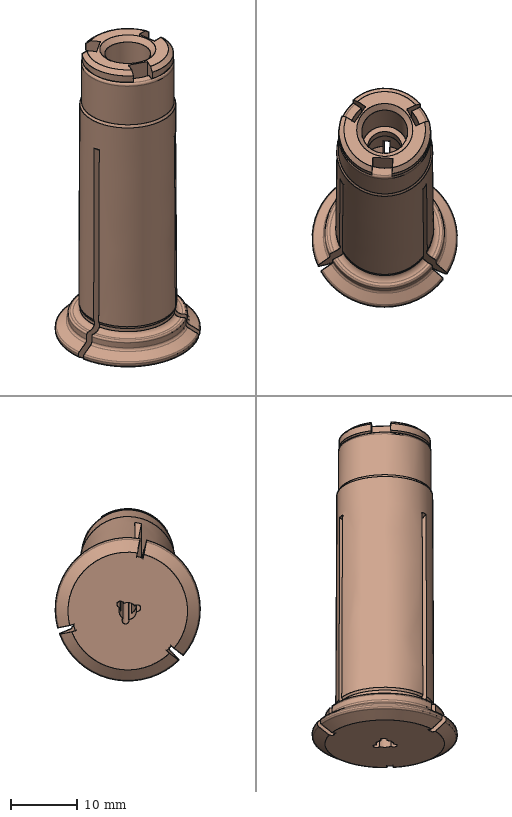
import cadquery as cq
import math

HEIGHT = 50.5
SECTORS = 3
SECTOR_ANGLE = 360.0 / SECTORS

FLANGE_R = 21.95 / 2
FLANGE_CONE_ANGLE = 31.0
RIM_MID_Z = 1.5
RIM_WIDTH = 0.3
RIM_ROUND = 0.35
COLLAR_R = 9.05
COLLAR_BLEND_R = 0.55
COLLAR_TOP_Z = 4.55
COLLAR_ROUND = 0.3

RELIEF_R = 7.25
RELIEF_BOTTOM_Z = 5.15
RELIEF_FOOT_R = 8.3
RELIEF_TOP_Z = 5.7
BODY_BOTTOM_Z = 6.1
BODY_BOTTOM_R = 7.4
BODY_TOP_Z = 40.95
BODY_TOP_R = 7.25
NECK_R = 7.0
NECK_BOTTOM_Z = 41.35
NECK_ROUND = 0.4
SHOULDER_Z = 48.55
HEAD_R = 6.9
HEAD_BOTTOM_Z = 48.8
HEAD_CHAMFER_Z = 49.9
HEAD_TOP_R = 6.15

MOUTH_R = 8.5 / 2
SOCKET_R = 6.9 / 2
SOCKET_FLOOR_Z = 42.4
NECK_HOLE_R = 5.2 / 2
CAVITY_R = 10.9 / 2
CAVITY_TOP_Z = 40.4
MAIN_BORE_R = 8.2 / 2
MAIN_BORE_FLOOR_Z = 31.6
CORE_HOLE_R = 1.3
DRILL_TIP_ANGLE = 118.0

CORE_GROOVE_R = 0.5
CORE_GROOVE_OFFSET = 1.5

SLOT_WIDTH = 1.0
SLOT_END_ANGLE = 35.0
SLOT_FLOOR_R = 8.5
SLOT_TOP_Z = 36.2

KEY_WIDTH = 3.05
KEY_WALL_R = 4.5

OVERCUT = 2.5


def cone_drop(outer_radius, inner_radius):
    """Height of a drill-point cone between two radii."""
    return (outer_radius - inner_radius) / math.tan(math.radians(DRILL_TIP_ANGLE / 2))


def make_outside():
    """Revolve the outer profile into a solid blank."""
    cone = math.radians(FLANGE_CONE_ANGLE)
    slope = math.tan(cone)

    rim_low_z = RIM_MID_Z - RIM_WIDTH / 2
    rim_high_z = RIM_MID_Z + RIM_WIDTH / 2
    cone_end_r = FLANGE_R - RIM_ROUND * (1 - math.sin(cone))
    low_cone_z = rim_low_z - RIM_ROUND * math.cos(cone)
    high_cone_z = rim_high_z + RIM_ROUND * math.cos(cone)
    bottom_r = cone_end_r - low_cone_z / slope

    corner_z = high_cone_z + (cone_end_r - COLLAR_R) * slope
    blend_length = COLLAR_BLEND_R * math.tan((math.pi / 2 - cone) / 2)
    blend_start = (COLLAR_R + blend_length * math.cos(cone), corner_z - blend_length * math.sin(cone))

    foot_width = RELIEF_FOOT_R - RELIEF_R
    foot_height = RELIEF_BOTTOM_Z - COLLAR_TOP_Z
    foot_arc_r = (foot_width**2 + foot_height**2) / (2 * foot_height)

    profile = (
        cq.Workplane("XZ")
        .lineTo(bottom_r, 0)
        .lineTo(cone_end_r, low_cone_z)
        .radiusArc((FLANGE_R, rim_low_z), -RIM_ROUND)
        .lineTo(FLANGE_R, rim_high_z)
        .radiusArc((cone_end_r, high_cone_z), -RIM_ROUND)
        .lineTo(*blend_start)
        .radiusArc((COLLAR_R, corner_z + blend_length), COLLAR_BLEND_R)
        .lineTo(COLLAR_R, COLLAR_TOP_Z - COLLAR_ROUND)
        .radiusArc((COLLAR_R - COLLAR_ROUND, COLLAR_TOP_Z), -COLLAR_ROUND)
        .lineTo(RELIEF_FOOT_R, COLLAR_TOP_Z)
        .radiusArc((RELIEF_R, RELIEF_BOTTOM_Z), foot_arc_r)
        .lineTo(RELIEF_R, RELIEF_TOP_Z)
        .lineTo(BODY_BOTTOM_R, BODY_BOTTOM_Z)
        .lineTo(BODY_TOP_R, BODY_TOP_Z)
        .lineTo(NECK_R, NECK_BOTTOM_Z)
        .lineTo(NECK_R, SHOULDER_Z - NECK_ROUND)
        .radiusArc((NECK_R - NECK_ROUND, SHOULDER_Z), -NECK_ROUND)
        .lineTo(HEAD_R, HEAD_BOTTOM_Z)
        .lineTo(HEAD_R, HEAD_CHAMFER_Z)
        .lineTo(HEAD_TOP_R, HEIGHT)
        .lineTo(0, HEIGHT)
        .close()
    )
    return profile.revolve(360, (0, 0, 0), (0, 1, 0))


def make_bore():
    """Revolve the stepped bore, wide inside and narrowed by a ledge below the socket."""
    points = [
        (0, 0),
        (CORE_HOLE_R, 0),
        (CORE_HOLE_R, MAIN_BORE_FLOOR_Z - cone_drop(MAIN_BORE_R, CORE_HOLE_R)),
        (MAIN_BORE_R, MAIN_BORE_FLOOR_Z),
        (MAIN_BORE_R, CAVITY_TOP_Z - cone_drop(CAVITY_R, MAIN_BORE_R)),
        (CAVITY_R, CAVITY_TOP_Z),
        (NECK_HOLE_R, CAVITY_TOP_Z),
        (NECK_HOLE_R, SOCKET_FLOOR_Z),
        (SOCKET_R, SOCKET_FLOOR_Z),
        (SOCKET_R, HEIGHT - (MOUTH_R - SOCKET_R)),
        (MOUTH_R, HEIGHT),
        (0, HEIGHT),
    ]
    return cq.Workplane("XZ").polyline(points).close().revolve(360, (0, 0, 0), (0, 1, 0))


def make_core_groove():
    """Round groove along the core hole, on the +X side."""
    return cq.Workplane("XY").center(CORE_GROOVE_OFFSET, 0).circle(CORE_GROOVE_R).extrude(MAIN_BORE_FLOOR_Z)


def make_slot():
    """Slot on the -X side, with a floor and a ceiling that spread apart outwards."""
    slope = math.tan(math.radians(SLOT_END_ANGLE))
    reach = FLANGE_R + OVERCUT
    points = [
        (0, SLOT_FLOOR_R * slope),
        (-reach, (SLOT_FLOOR_R - reach) * slope),
        (-reach, SLOT_TOP_Z + (reach - BODY_TOP_R) * slope),
        (0, SLOT_TOP_Z - BODY_TOP_R * slope),
    ]
    return cq.Workplane("XZ").polyline(points).close().extrude(SLOT_WIDTH / 2, both=True)


def make_key_notch():
    """Notch on the +X side: open through the head ring, then down into the inner cavity."""
    plan = cq.Workplane("XY").rect(2 * (HEAD_R + OVERCUT), KEY_WIDTH)
    block = plan.extrude(HEIGHT - CAVITY_TOP_Z).translate((KEY_WALL_R + HEAD_R + OVERCUT, 0, CAVITY_TOP_Z))
    through_head = cq.Workplane("XY").workplane(offset=SHOULDER_Z).circle(HEAD_R + OVERCUT)
    into_cavity = cq.Workplane("XY").workplane(offset=CAVITY_TOP_Z).circle(CAVITY_R)
    envelope = into_cavity.extrude(HEIGHT - CAVITY_TOP_Z).union(through_head.extrude(HEIGHT - SHOULDER_Z))
    return block.intersect(envelope)


result = make_outside().cut(make_bore())
for sector in range(SECTORS):
    for cutter in (make_core_groove(), make_slot(), make_key_notch()):
        result = result.cut(cutter.rotate((0, 0, 0), (0, 0, 1), sector * SECTOR_ANGLE))